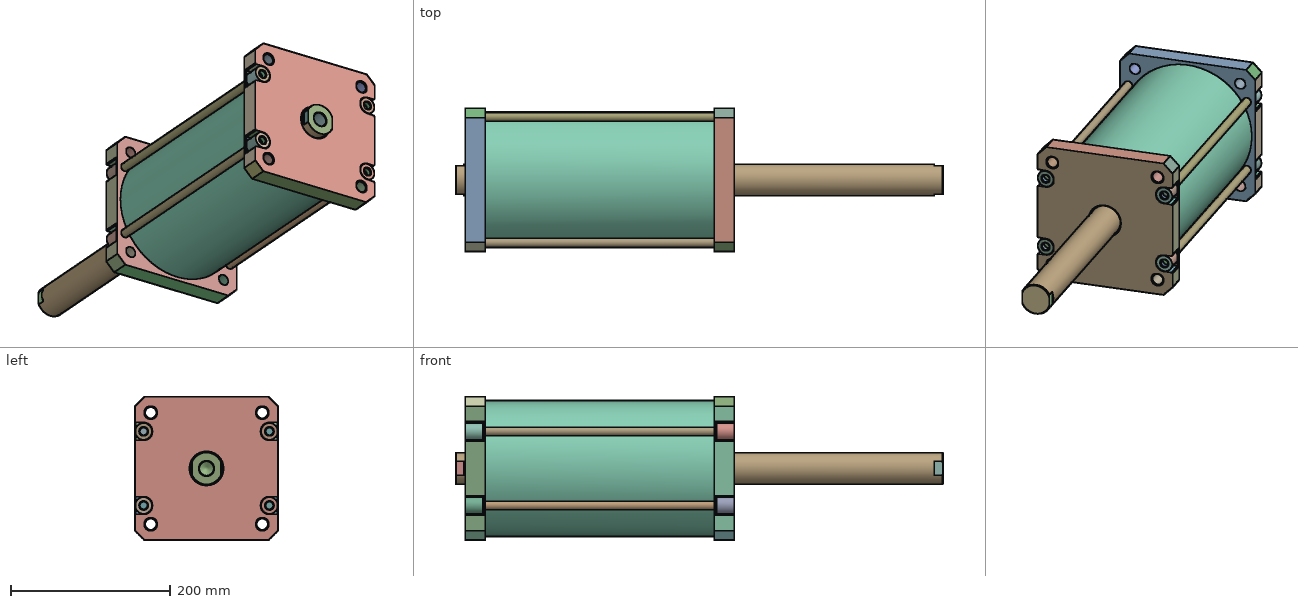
import cadquery as cq
import math


TOTAL_LENGTH = 611.5
REAR_STUB = 11.5
PLATE_THICKNESS = 25.5
TUBE_LENGTH = 287.0
REAR_PLATE_X = REAR_STUB
TUBE_X = REAR_PLATE_X + PLATE_THICKNESS
FRONT_PLATE_X = TUBE_X + TUBE_LENGTH
FRONT_FACE_X = FRONT_PLATE_X + PLATE_THICKNESS

SINK_ANGLE = 90.0

PLATE_SIZE = 180.0
CORNER_CHAMFER = 12.0
MOUNT_HOLE_DIAMETER = 14.0
MOUNT_SINK_DIAMETER = 16.5
ROD_BORE_SINK_DIAMETER = 43.0
MOUNT_HOLE_SPACING = 140.0

TUBE_DIAMETER = 171.0
BORE_DIAMETER = 160.0

ROD_DIAMETER = 40.0
FRONT_TIP_CHAMFER = 1.0
FLATS_WIDTH = 36.0
REAR_FLATS_LENGTH = 9.5
FRONT_FLATS_LENGTH = 11.0
ROD_HOLE_DIAMETER = 18.0
ROD_HOLE_SINK_DIAMETER = 19.5
ROD_HOLE_DEPTH = 30.0
ROD_HOLE_TIP_ANGLE = 118.0

TIE_ROD_DIAMETER = 11.0
TIE_ROD_Y = 79.0
TIE_ROD_Z = 46.5
NUT_DIAMETER = 21.0
NUT_SOCKET_DIAMETER = 9.5
NUT_SOCKET_SINK_DIAMETER = 11.5
NUT_SOCKET_DEPTH = 8.0
POCKET_WIDTH = 22.5
POCKET_DEPTH = 22.0
POCKET_MOUTH_CHAMFER = 1.25
MOUTH_TAPER = 45.0

TIE_ROD_CENTRES = [(side * TIE_ROD_Y, level * TIE_ROD_Z) for side in (-1, 1) for level in (-1, 1)]


def cylinder(diameter, start_x, length, y=0.0, z=0.0):
    """Cylinder along +X whose first face is at start_x."""
    return cq.Workplane("YZ", origin=(start_x, y, z)).circle(diameter / 2).extrude(length)


def nut_pocket(start_x, y, z):
    """Round-ended pocket that runs out, with a chamfered mouth, through the nearer Y side."""
    run_out = PLATE_SIZE / 2 - abs(y)
    side = 1 if y > 0 else -1
    channel = (
        cq.Workplane("YZ", origin=(start_x, y + side * run_out / 2, z))
        .rect(run_out, POCKET_WIDTH)
        .extrude(POCKET_DEPTH)
    )
    mouth = (
        cq.Workplane("XZ", origin=(start_x + POCKET_DEPTH / 2, side * PLATE_SIZE / 2, z))
        .rect(POCKET_DEPTH + 2 * POCKET_MOUTH_CHAMFER, POCKET_WIDTH + 2 * POCKET_MOUTH_CHAMFER)
        .extrude(side * POCKET_MOUTH_CHAMFER, taper=MOUTH_TAPER)
    )
    return cylinder(POCKET_WIDTH, start_x, POCKET_DEPTH, y, z).union(channel).union(mouth)


def end_plate():
    """Rear plate: cut corners, countersunk mounting holes, rod hole, tie rod holes, nut pockets."""
    plate = (
        cq.Workplane("YZ", origin=(REAR_PLATE_X, 0, 0))
        .rect(PLATE_SIZE, PLATE_SIZE)
        .extrude(PLATE_THICKNESS)
        .edges("|X")
        .chamfer(CORNER_CHAMFER)
    )
    plate = (
        plate.faces("<X")
        .workplane(centerOption="CenterOfBoundBox")
        .cskHole(ROD_DIAMETER, ROD_BORE_SINK_DIAMETER, SINK_ANGLE)
        .faces("<X")
        .workplane(centerOption="CenterOfBoundBox")
        .rect(MOUNT_HOLE_SPACING, MOUNT_HOLE_SPACING, forConstruction=True)
        .vertices()
        .cskHole(MOUNT_HOLE_DIAMETER, MOUNT_SINK_DIAMETER, SINK_ANGLE)
    )
    for y, z in TIE_ROD_CENTRES:
        plate = plate.cut(cylinder(TIE_ROD_DIAMETER, REAR_PLATE_X, PLATE_THICKNESS, y, z))
        plate = plate.cut(nut_pocket(REAR_PLATE_X, y, z))
    return plate


def tube():
    """Cylinder tube clamped between the two plates."""
    wall = cylinder(TUBE_DIAMETER, TUBE_X, TUBE_LENGTH)
    return wall.cut(cylinder(BORE_DIAMETER, TUBE_X, TUBE_LENGTH))


def wrench_flats(start_x, length):
    """Material removed from both Y sides of the rod to leave two parallel flats."""
    blank = cylinder(2 * ROD_DIAMETER, start_x, length)
    core = (
        cq.Workplane("YZ", origin=(start_x, 0, 0))
        .rect(FLATS_WIDTH, 2 * ROD_DIAMETER)
        .extrude(length)
    )
    return blank.cut(core)


def drilled_hole():
    """Blind hole with a chamfered mouth and a conical tip, entering the rod from its rear end."""
    tip_depth = ROD_HOLE_DIAMETER / 2 / math.tan(math.radians(ROD_HOLE_TIP_ANGLE / 2))
    sink_depth = (ROD_HOLE_SINK_DIAMETER - ROD_HOLE_DIAMETER) / 2
    return (
        cq.Workplane("XY")
        .polyline([
            (0, 0),
            (0, ROD_HOLE_SINK_DIAMETER / 2),
            (sink_depth, ROD_HOLE_DIAMETER / 2),
            (ROD_HOLE_DEPTH, ROD_HOLE_DIAMETER / 2),
            (ROD_HOLE_DEPTH + tip_depth, 0),
        ])
        .close()
        .revolve(360, (0, 0, 0), (1, 0, 0))
    )


def piston_rod():
    """Through rod with wrench flats at both ends, a drilled rear end and a chamfered front tip."""
    return (
        cylinder(ROD_DIAMETER, 0, TOTAL_LENGTH)
        .faces(">X")
        .chamfer(FRONT_TIP_CHAMFER)
        .cut(wrench_flats(0, REAR_FLATS_LENGTH))
        .cut(wrench_flats(TOTAL_LENGTH - FRONT_FLATS_LENGTH, FRONT_FLATS_LENGTH))
        .cut(drilled_hole())
    )


def tie_rod(y, z):
    """Tie rod with a round socketed nut filling the pocket depth at each end."""
    rod = cylinder(TIE_ROD_DIAMETER, REAR_PLATE_X, FRONT_FACE_X - REAR_PLATE_X, y, z)
    for nut_x in (REAR_PLATE_X, FRONT_FACE_X - POCKET_DEPTH):
        rod = rod.union(cylinder(NUT_DIAMETER, nut_x, POCKET_DEPTH, y, z))
    for end in ("<X", ">X"):
        rod = (
            rod.faces(end)
            .workplane(centerOption="CenterOfBoundBox")
            .cskHole(NUT_SOCKET_DIAMETER, NUT_SOCKET_SINK_DIAMETER, SINK_ANGLE, NUT_SOCKET_DEPTH)
        )
    return rod


rear_plate = end_plate()
front_plate = rear_plate.mirror("YZ", (TUBE_X + TUBE_LENGTH / 2, 0, 0))
tie_rods = [tie_rod(y, z) for y, z in TIE_ROD_CENTRES]

result = cq.Compound.makeCompound([
    rear_plate.val(),
    front_plate.val(),
    tube().val(),
    piston_rod().val(),
    *[rod.val() for rod in tie_rods],
])